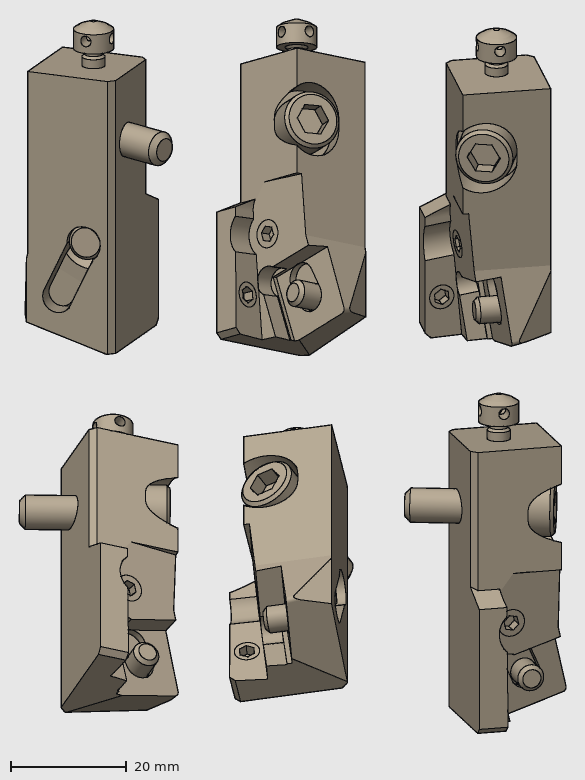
import cadquery as cq
import math

BLOCK_X = 16.1
BLOCK_Y = 15.5
BLOCK_Z = 49.4
BLOCK_CHAMFER = 1.1

LEAD = math.radians(15)
SIDE_LEAD = math.radians(14.1)
FLANK_TOP_Z = 16.4
BOTTOM_FLANK_Z = 3.95
BOTTOM_CLEARANCE = math.radians(12.3)
RELIEF_X = -0.22
RELIEF_ANGLE = math.radians(25)
NOSE_RADIUS = 0.8
SEAT_TILT_X = 0.12
SEAT_TILT_Z = 0.09

SEAT = cq.Vector(4.5, 8.75, 7.7)
INSERT_HALF = 6.35
POCKET_TOP = 5.85
POCKET_HEIGHT = 4.45
POCKET_OPEN = 14.0
CORNER_RELIEF_REACH = 3.6
LEDGE_HEIGHT = 0.9
LEDGE_WIDTH = 0.25

CHIP_TOP_Z = 27.2

STOP_X = 10.9
STOP_Y = 20.0
STOP_FRONT_Y = 8.0
STOP_FACE_TOP_Z = 21.9
OVERHANG_RADIUS = 4.5
OVERHANG_HEIGHT = 3.2
STOP_EDGE_Z = 22.5
STOP_TOP_SLOPE = math.radians(25)
STOP_CHAMFER = 1.0
ACCESS_RADIUS = 4.3

PLUG_Y = 17.0
PLUG_Z = 7.4
PLUG_RADIUS = 2.2
PLUG_LENGTH = 4.0
PLUG_HEX = 2.5
PLUG_HEX_DEPTH = 2.0

CLAMP_ANGLE = math.radians(20)
CLAMP_HEAD = cq.Vector(0.08, 11.8, 37.35)
CLAMP_HEAD_RADIUS = 5.0
CLAMP_HEAD_LENGTH = 6.0
CLAMP_HEAD_CHAMFER = 0.6
CLAMP_RADIUS = 3.0
CLAMP_LENGTH = 20.0
CLAMP_TIP_CHAMFER = 1.0
CLAMP_HEX = 5.0
CLAMP_HEX_DEPTH = 3.0
COUNTERBORE_WIDTH = 11.0
COUNTERBORE_LENGTH = 12.9

ADJUST_X = 9.08
ADJUST_Y = 7.8
ADJUST_RADIUS = 2.0
ADJUST_DEPTH = 8.0
NECK_RADIUS = 1.55
NECK_BOTTOM_Z = 51.0
NECK_CHAMFER = ADJUST_RADIUS - NECK_RADIUS
ADJUST_HEAD_RADIUS = 3.5
ADJUST_HEAD_Z = 52.5
ADJUST_RIM_Z = 56.0
DOME_EDGE_RADIUS = 2.55
DOME_EDGE_Z = 56.65
DOME_FLAT_RADIUS = 0.5
ADJUST_TOP_Z = 57.43
CROSS_HOLE_RADIUS = 0.95
CROSS_HOLE_Z = 54.7

SCREW_X = 10.55
SCREW_Z = 19.45
LEVER_X = 5.57
LEVER_Z = 9.15
SLOT_RADIUS = 2.7
RECESS_RUN = 3.8
RECESS_DEPTH = 1.5
LEVER_RADIUS = 2.35
LEVER_END_GAP = 0.55
LEVER_FACE_Y = 1.95
LEVER_BEND_RUN = 4.0
LEVER_HEEL_Y = 1.6
SLOT_DEPTH = 6.0
LEVER_CONE_RADIUS = 5.2
LEVER_CONE_DEPTH = 1.8
SCREW_COLLAR_RADIUS = 3.1
SCREW_COLLAR_DEPTH = 1.3
SCREW_COLLAR_END = 8.0
SCREW_COLLAR_CHAMFER = 0.5
SCREW_RADIUS = 2.45
SCREW_HEX = 2.5
SCREW_HEX_DEPTH = 2.0
PIN_RADIUS = 2.33
PIN_Z = 7.2
PIN_TOP_Y = 12.6
PIN_CHAMFER = 0.7

HEAD_REACH = 6.0
BIG = 80.0
TOOL_START = 5.0

UP = cq.Vector(-SEAT_TILT_X, 1, -SEAT_TILT_Z).normalized()
CHIP_POINT = SEAT + UP * POCKET_HEIGHT
SCREW_ENTRY = cq.Vector(SCREW_X, 0, SCREW_Z)
LEVER_ENTRY = cq.Vector(LEVER_X, 0, LEVER_Z)
SCREW_END = (CHIP_POINT - SCREW_ENTRY).dot(UP)
SLOT_RUN = (SCREW_ENTRY - LEVER_ENTRY).Length


def square_to_seat(direction):
    """The part of a direction that lies in the seat plane."""
    return direction - UP * direction.dot(UP)


INSERT_ACROSS = square_to_seat(cq.Vector(math.cos(LEAD), 0, -math.sin(LEAD)))
STOP_NORMAL = square_to_seat(cq.Vector(1, 0, 0)).normalized()
SLOT_ALONG = square_to_seat(SCREW_ENTRY - LEVER_ENTRY)


def seat_frame(origin, x_dir=INSERT_ACROSS):
    """Frame square to the seat, with z into the holder (toward the front face)."""
    return cq.Workplane(cq.Plane(origin, x_dir, UP * -1))


def beyond(point, outward):
    """Everything on the outward side of a plane."""
    return cq.Workplane(cq.Plane(point, None, outward)).rect(2 * BIG, 2 * BIG).extrude(BIG)


def block(x0, x1, y0, y1, z0, z1):
    """Box between the given limits."""
    return cq.Workplane("XY").box(x1 - x0, y1 - y0, z1 - z0, centered=False).translate((x0, y0, z0))


def hexagon(frame, across_flats):
    """Hexagon with two flats square to the frame's x axis."""
    return frame.polygon(6, across_flats, circumscribed=True)


def lever_slot():
    """Round-ended slot from the front face, square to the seat."""
    return (
        seat_frame(LEVER_ENTRY, SLOT_ALONG)
        .workplane(offset=TOOL_START)
        .center(SLOT_RUN / 2, 0)
        .slot2D(SLOT_RUN + 2 * SLOT_RADIUS, 2 * SLOT_RADIUS)
        .extrude(-TOOL_START - SLOT_DEPTH)
    )


def pin_recess():
    """Shallow recess in the seat that frees the pin, stretched along the lever."""
    seat_point = cq.Vector(SEAT.x, SEAT.y + SEAT_TILT_Z * (PIN_Z - SEAT.z), PIN_Z)
    return (
        seat_frame(seat_point, SLOT_ALONG)
        .center(RECESS_RUN / 2, 0)
        .slot2D(RECESS_RUN + 2 * SLOT_RADIUS, 2 * SLOT_RADIUS)
        .extrude(RECESS_DEPTH)
    )


def screw_bore():
    """Stepped round that both the lever screw and its hole follow."""
    collar = seat_frame(SCREW_ENTRY).workplane(offset=TOOL_START).circle(SCREW_COLLAR_RADIUS)
    stem = seat_frame(SCREW_ENTRY).circle(SCREW_RADIUS).extrude(-SCREW_END)
    return collar.extrude(-TOOL_START - SCREW_COLLAR_END).union(stem)


def cutting_head(bottom_flank):
    """Bulge that carries the insert corner, bounded by three flanks and a rounded nose."""
    head = block(-HEAD_REACH, BLOCK_X / 2, 0, BLOCK_Y, -HEAD_REACH, FLANK_TOP_Z)
    side_normal = (-math.cos(SIDE_LEAD), 0, math.sin(SIDE_LEAD))
    head = head.cut(beyond((0, 0, FLANK_TOP_Z), side_normal)).cut(bottom_flank)
    nose = cq.selectors.NearestToPointSelector((-HEAD_REACH, BLOCK_Y / 2, 0))
    head = head.edges(nose).fillet(NOSE_RADIUS)
    relief_normal = (-math.cos(RELIEF_ANGLE), -math.sin(RELIEF_ANGLE), 0)
    head = head.cut(beyond((RELIEF_X, 0, 0), relief_normal))
    return head.cut(beyond((0, 0, 0), (0, 0, -1)))


def rear_stop():
    """Stop that rises behind the shank, with a hollow under its sloping top."""
    face_point = cq.Vector(STOP_X, STOP_Y, 0)
    turn = math.asin(OVERHANG_HEIGHT / OVERHANG_RADIUS)
    mid = (
        -OVERHANG_RADIUS * (1 - math.cos(turn / 2)),
        STOP_FACE_TOP_Z + OVERHANG_RADIUS * math.sin(turn / 2),
    )
    end = (-OVERHANG_RADIUS * (1 - math.cos(turn)), STOP_FACE_TOP_Z + OVERHANG_HEIGHT)
    stop = (
        seat_frame(face_point, STOP_NORMAL)
        .workplane(offset=-STOP_Y)
        .moveTo(0, -HEAD_REACH)
        .lineTo(0, STOP_FACE_TOP_Z)
        .threePointArc(mid, end)
        .hLineTo(BLOCK_X)
        .vLineTo(-HEAD_REACH)
        .close()
        .extrude(2 * STOP_Y)
    )
    stop = stop.intersect(block(0, BLOCK_X, STOP_FRONT_Y, STOP_Y, 0, BLOCK_Z))
    stop = stop.edges(">Y and <Z").chamfer(STOP_CHAMFER)
    slope_normal = (0, math.sin(STOP_TOP_SLOPE), math.cos(STOP_TOP_SLOPE))
    return stop.cut(beyond((0, STOP_Y, STOP_EDGE_Z), slope_normal))


def insert_pocket():
    """Square corner recess with a round corner relief and a small step along its base."""
    far = -POCKET_OPEN
    recess = (
        seat_frame(SEAT)
        .moveTo(INSERT_HALF, POCKET_TOP)
        .hLineTo(far)
        .vLineTo(far)
        .hLineTo(INSERT_HALF)
        .close()
        .extrude(-POCKET_HEIGHT)
    )
    ledge = (
        seat_frame(SEAT)
        .moveTo(INSERT_HALF, POCKET_TOP)
        .vLineTo(far)
        .hLine(-LEDGE_WIDTH)
        .vLineTo(POCKET_TOP)
        .close()
        .extrude(-LEDGE_HEIGHT)
    )
    half_reach = CORNER_RELIEF_REACH / 2
    relief = (
        seat_frame(SEAT)
        .workplane(offset=-LEDGE_HEIGHT)
        .center(INSERT_HALF - half_reach, POCKET_TOP - half_reach)
        .circle(half_reach * math.sqrt(2))
        .extrude(LEDGE_HEIGHT - POCKET_HEIGHT)
    )
    return recess.cut(ledge).union(relief)


def make_holder():
    bottom_normal = (
        -math.sin(LEAD) * math.cos(BOTTOM_CLEARANCE),
        -math.sin(BOTTOM_CLEARANCE),
        -math.cos(LEAD) * math.cos(BOTTOM_CLEARANCE),
    )
    bottom_flank = beyond((0, 0, BOTTOM_FLANK_Z), bottom_normal)
    shank = block(0, BLOCK_X, 0, BLOCK_Y, 0, BLOCK_Z)
    shank = shank.edges("|Z and >X").chamfer(BLOCK_CHAMFER).cut(bottom_flank)
    above_chip_face = beyond(CHIP_POINT, UP)
    chip_space = above_chip_face.intersect(block(-BIG, BIG, 0, BIG, -BIG, CHIP_TOP_Z))
    access = seat_frame(SCREW_ENTRY).circle(ACCESS_RADIUS).extrude(-BIG).intersect(above_chip_face)
    counterbore = (
        clamp_frame()
        .workplane(offset=-CLAMP_HEAD_LENGTH)
        .slot2D(COUNTERBORE_LENGTH, COUNTERBORE_WIDTH)
        .extrude(2 * CLAMP_HEAD_LENGTH)
    )
    holder = shank.union(cutting_head(bottom_flank)).cut(chip_space).union(rear_stop())
    for tool in (insert_pocket(), access, counterbore, lever_slot(), pin_recess(), screw_bore()):
        holder = holder.cut(tool)
    return holder


def clamp_frame():
    """Frame on the outer face of the screw head, x up and z along the screw."""
    axis = (math.cos(CLAMP_ANGLE), -math.sin(CLAMP_ANGLE), 0)
    return cq.Workplane(cq.Plane(CLAMP_HEAD, (0, 0, 1), axis))


def clamp_blank():
    head = clamp_frame().circle(CLAMP_HEAD_RADIUS).extrude(CLAMP_HEAD_LENGTH)
    head = head.faces("<X").chamfer(CLAMP_HEAD_CHAMFER)
    stem = clamp_frame().workplane(offset=CLAMP_HEAD_LENGTH).circle(CLAMP_RADIUS).extrude(CLAMP_LENGTH)
    return head.union(stem.faces(">X").chamfer(CLAMP_TIP_CHAMFER))


def clamp_key():
    return hexagon(clamp_frame(), CLAMP_HEX).extrude(CLAMP_HEX_DEPTH)


def make_adjusting_screw():
    bottom_z = BLOCK_Z - ADJUST_DEPTH
    screw = (
        cq.Workplane("XZ")
        .moveTo(0, bottom_z)
        .lineTo(ADJUST_RADIUS, bottom_z)
        .lineTo(ADJUST_RADIUS, NECK_BOTTOM_Z)
        .lineTo(NECK_RADIUS, NECK_BOTTOM_Z + NECK_CHAMFER)
        .lineTo(NECK_RADIUS, ADJUST_HEAD_Z - NECK_CHAMFER)
        .lineTo(ADJUST_RADIUS, ADJUST_HEAD_Z)
        .lineTo(ADJUST_HEAD_RADIUS, ADJUST_HEAD_Z)
        .lineTo(ADJUST_HEAD_RADIUS, ADJUST_RIM_Z)
        .lineTo(DOME_EDGE_RADIUS, DOME_EDGE_Z)
        .lineTo(DOME_FLAT_RADIUS, ADJUST_TOP_Z)
        .lineTo(0, ADJUST_TOP_Z)
        .close()
        .revolve(360, (0, 0, 0), (0, 1, 0))
    )
    for plane in ("XZ", "YZ"):
        hole = cq.Workplane(plane).center(0, CROSS_HOLE_Z).circle(CROSS_HOLE_RADIUS)
        screw = screw.cut(hole.extrude(BLOCK_X, both=True))
    return screw.translate((ADJUST_X, ADJUST_Y, 0))


def plug_frame():
    """Frame on the stop face, x toward the rear and z into the stop."""
    drift = STOP_NORMAL.y * (PLUG_Y - STOP_Y) + STOP_NORMAL.z * PLUG_Z
    face_x = STOP_X - drift / STOP_NORMAL.x
    return cq.Workplane(cq.Plane((face_x, PLUG_Y, PLUG_Z), UP, STOP_NORMAL))


def plug_blank():
    return plug_frame().circle(PLUG_RADIUS).extrude(PLUG_LENGTH)


def plug_key():
    return hexagon(plug_frame(), PLUG_HEX).extrude(PLUG_HEX_DEPTH)


def make_lever_screw():
    outer_end = beyond(SCREW_ENTRY + UP * SCREW_COLLAR_DEPTH, UP * -1)
    screw = screw_bore().cut(outer_end)
    screw = screw.faces("<Y").chamfer(SCREW_COLLAR_CHAMFER)
    inner_end = seat_frame(SCREW_ENTRY).workplane(offset=-SCREW_END)
    return screw.cut(hexagon(inner_end, SCREW_HEX).extrude(SCREW_HEX_DEPTH))


def make_lever():
    plan = (
        seat_frame(LEVER_ENTRY, SLOT_ALONG)
        .center(SLOT_RUN / 2 + LEVER_END_GAP, 0)
        .slot2D(SLOT_RUN + 2 * LEVER_RADIUS, 2 * LEVER_RADIUS)
        .extrude(-SLOT_DEPTH)
    )
    run_dir = SCREW_ENTRY - LEVER_ENTRY
    profile = (
        cq.Workplane(cq.Plane(LEVER_ENTRY, run_dir, run_dir.cross(cq.Vector(0, 1, 0))))
        .moveTo(-SLOT_RUN, 2 * SLOT_DEPTH)
        .lineTo(-SLOT_RUN, LEVER_FACE_Y)
        .lineTo(LEVER_BEND_RUN, LEVER_FACE_Y)
        .lineTo(SLOT_RUN, LEVER_HEEL_Y)
        .lineTo(SLOT_RUN, 2 * SLOT_DEPTH)
        .close()
        .extrude(SLOT_DEPTH, both=True)
    )
    cone = cq.Solid.makeCone(
        LEVER_CONE_RADIUS + LEVER_CONE_DEPTH,
        LEVER_CONE_RADIUS + LEVER_CONE_DEPTH - SLOT_DEPTH,
        SLOT_DEPTH,
        SCREW_ENTRY,
        UP,
    )
    return plan.intersect(profile).cut(screw_bore()).cut(cq.Workplane(cone))


def make_pin():
    """Pin that rises along Y from the lever through the seat."""
    pin = cq.Workplane("XZ", origin=(SEAT.x, 0, PIN_Z)).circle(PIN_RADIUS).extrude(-PIN_TOP_Y)
    pin = pin.faces(">Y").chamfer(PIN_CHAMFER)
    return pin.cut(beyond(LEVER_ENTRY + UP * SLOT_DEPTH, UP * -1))


clamp_solid = clamp_blank()
adjusting_screw = make_adjusting_screw()
plug_solid = plug_blank()
pin = make_pin()
lever = make_lever()
lever_screw = make_lever_screw()
holder = make_holder()
for part in (clamp_solid, adjusting_screw, plug_solid, pin):
    holder = holder.cut(part)
clamp_screw = clamp_solid.cut(clamp_key())
plug = plug_solid.cut(plug_key())

bodies = (holder, clamp_screw, adjusting_screw, plug, lever, lever_screw, pin)
result = cq.Compound.makeCompound([body.solids().val() for body in bodies])